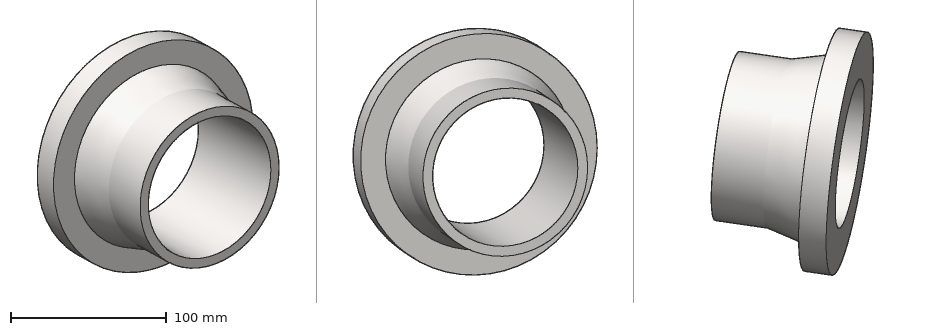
import cadquery as cq

total_length = 80.0
flange_diameter = 158.0
flange_thickness = 18.0
neck_base_diameter = 124.8
pipe_diameter = 110.0
pipe_length = 34.1
bore_diameter = 96.9

pipe_start = total_length - pipe_length

half_section = [
    (0, bore_diameter / 2),
    (0, flange_diameter / 2),
    (flange_thickness, flange_diameter / 2),
    (flange_thickness, neck_base_diameter / 2),
    (pipe_start, pipe_diameter / 2),
    (total_length, pipe_diameter / 2),
    (total_length, bore_diameter / 2),
]

result = (
    cq.Workplane("XY")
    .polyline(half_section)
    .close()
    .revolve(360, (0, 0, 0), (1, 0, 0))
)